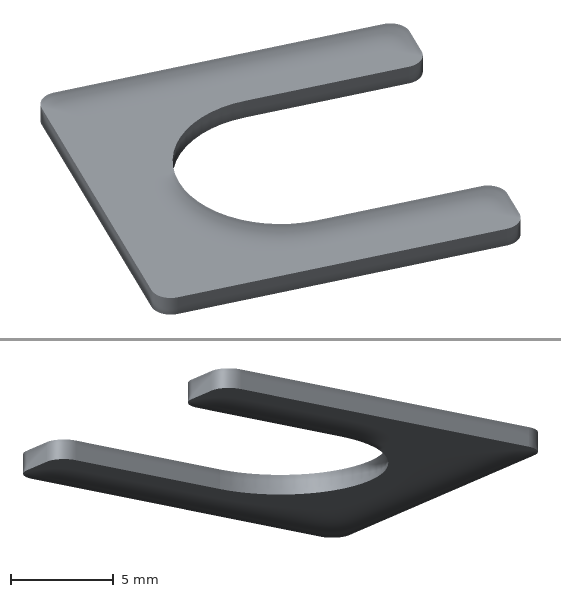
import cadquery as cq

width = 18.0
length = 19.0
thickness = 1.0

slot_width = 10.5
slot_radius = slot_width / 2

corner_radius = 1.0


def make_plate():
    """Rectangular plate centred on the origin in X and Y, resting on Z = 0."""
    return cq.Workplane("XY").box(width, length, thickness, centered=(True, True, False))


def make_slot():
    """Cutter for the U-shaped slot, from its round end out to the +Y edge."""
    open_end = length / 2
    return (
        cq.Workplane("XY")
        .moveTo(slot_radius, open_end)
        .lineTo(slot_radius, 0)
        .threePointArc((0, -slot_radius), (-slot_radius, 0))
        .lineTo(-slot_radius, open_end)
        .close()
        .extrude(thickness)
    )


def round_corners(plate):
    """Round the vertical edges at the outer corners and at both arm tips."""
    corner_edges = plate.edges("|Z and (>Y or <Y)")
    return corner_edges.fillet(corner_radius)


result = round_corners(make_plate().cut(make_slot()))